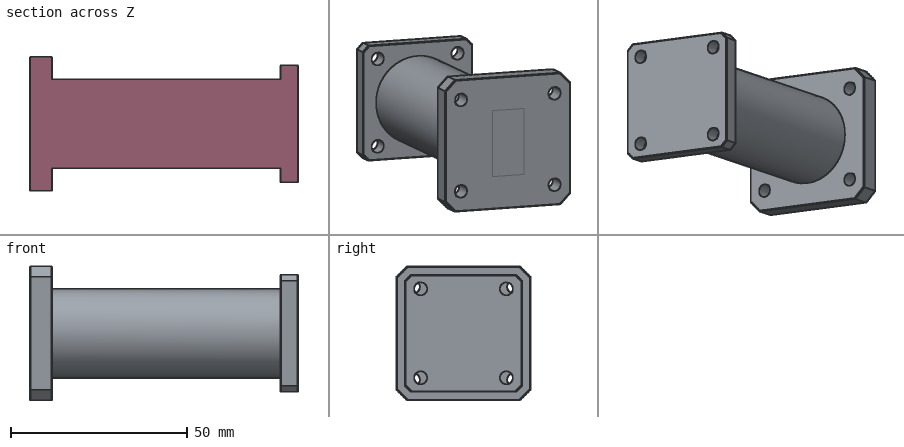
import cadquery as cq


total_length = 76.2
body_diameter = 25.4
edge_chamfer = 0.254

large_size = 38.1
large_thickness = 6.35
large_corner = 3.05
large_hole_diameter = 3.66
large_hole_spacing_y = 28.5
large_hole_spacing_z = 26.4

small_size = 33.325
small_thickness = 5.08
small_corner = 1.78
small_hole_diameter = 3.66
small_hole_spacing_y = 24.3
small_hole_spacing_z = 25.25

insert_width = 9.525
insert_height = 19.05


def make_flange(start_x, size, thickness, corner, hole_diameter, spacing_y, spacing_z):
    """Square plate with cut corners, broken face edges and four through holes."""
    plate = (
        cq.Workplane("YZ", origin=(start_x, 0, 0))
        .rect(size, size)
        .extrude(thickness)
        .edges("|X")
        .chamfer(corner)
        .faces("<X or >X")
        .chamfer(edge_chamfer)
    )
    holes = (
        cq.Workplane("YZ", origin=(start_x, 0, 0))
        .rect(spacing_y, spacing_z, forConstruction=True)
        .vertices()
        .circle(hole_diameter / 2)
        .extrude(thickness)
    )
    return plate.cut(holes)


def make_insert():
    """Rectangular block through the thickness of the -X flange."""
    return cq.Workplane("YZ").rect(insert_width, insert_height).extrude(large_thickness)


large_flange = make_flange(
    0,
    large_size,
    large_thickness,
    large_corner,
    large_hole_diameter,
    large_hole_spacing_y,
    large_hole_spacing_z,
)
small_flange = make_flange(
    total_length - small_thickness,
    small_size,
    small_thickness,
    small_corner,
    small_hole_diameter,
    small_hole_spacing_y,
    small_hole_spacing_z,
)
body_length = total_length - large_thickness - small_thickness
body = (
    cq.Workplane("YZ", origin=(large_thickness, 0, 0))
    .circle(body_diameter / 2)
    .extrude(body_length)
)

insert = make_insert()
result = large_flange.union(body).union(small_flange).cut(insert).union(insert, clean=False)